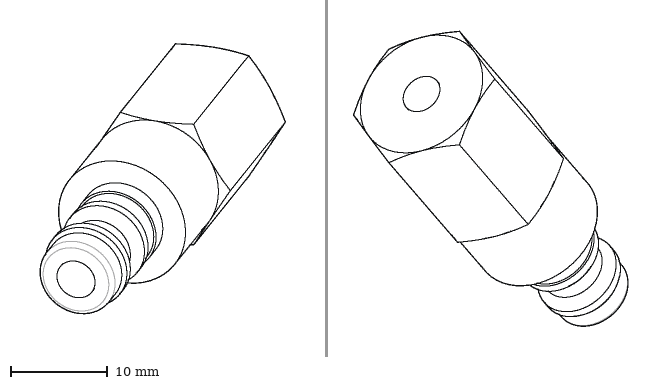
import cadquery as cq
import math

total_length = 42.0
across_flats = 14.0
bore_diameter = 4.2

nose_end = 2.55
front_collar_start = 3.05
front_collar_end = 4.1
neck_start = 5.2
neck_end = 7.15
rear_collar_start = 8.4
rear_collar_end = 9.5
relief_end = 11.93
body_start = 14.0
hex_start = 24.0

nose_radius = 4.1
collar_radius = 4.5
neck_radius = 3.4
relief_radius = 4.25
tip_fillet = 0.5

flat_radius = across_flats / 2
corner_radius = flat_radius / math.cos(math.radians(30))
hex_length = total_length - hex_start
chamfer_depth = (corner_radius - flat_radius) * math.tan(math.radians(30))


def revolve_about_y(outline):
    """Close an (r, y) outline and turn it about the Y axis."""
    return outline.close().revolve(360, (0, 0, 0), (0, 1, 0))


def make_plug_and_body():
    """Turned plug profile with collars, locking neck and cylindrical body."""
    fillet_start = nose_radius - tip_fillet
    fillet_diagonal = tip_fillet * math.sin(math.radians(45))
    fillet_middle = (fillet_start + fillet_diagonal, tip_fillet - fillet_diagonal)
    outline = (
        cq.Workplane("XY")
        .lineTo(fillet_start, 0)
        .threePointArc(fillet_middle, (nose_radius, tip_fillet))
        .lineTo(nose_radius, nose_end)
        .lineTo(collar_radius, front_collar_start)
        .lineTo(collar_radius, front_collar_end)
        .lineTo(neck_radius, neck_start)
        .lineTo(neck_radius, neck_end)
        .lineTo(collar_radius, rear_collar_start)
        .lineTo(collar_radius, rear_collar_end)
        .lineTo(relief_radius, rear_collar_end)
        .lineTo(relief_radius, relief_end)
        .lineTo(collar_radius, relief_end)
        .lineTo(collar_radius, body_start)
        .lineTo(flat_radius, body_start)
        .lineTo(flat_radius, hex_start)
        .lineTo(0, hex_start)
    )
    return revolve_about_y(outline)


def make_hexagon():
    """Hexagonal prism trimmed by a double-chamfered turned envelope."""
    prism = (
        cq.Workplane("XZ", origin=(0, hex_start, 0))
        .polygon(6, 2 * corner_radius)
        .extrude(-hex_length)
    )
    envelope = revolve_about_y(
        cq.Workplane("XY")
        .moveTo(0, hex_start)
        .lineTo(flat_radius, hex_start)
        .lineTo(corner_radius, hex_start + chamfer_depth)
        .lineTo(corner_radius, total_length - chamfer_depth)
        .lineTo(flat_radius, total_length)
        .lineTo(0, total_length)
    )
    return prism.intersect(envelope)


def make_bore():
    """Straight through bore along the axis."""
    return cq.Workplane("XZ").circle(bore_diameter / 2).extrude(-total_length)


result = make_plug_and_body().union(make_hexagon()).cut(make_bore())